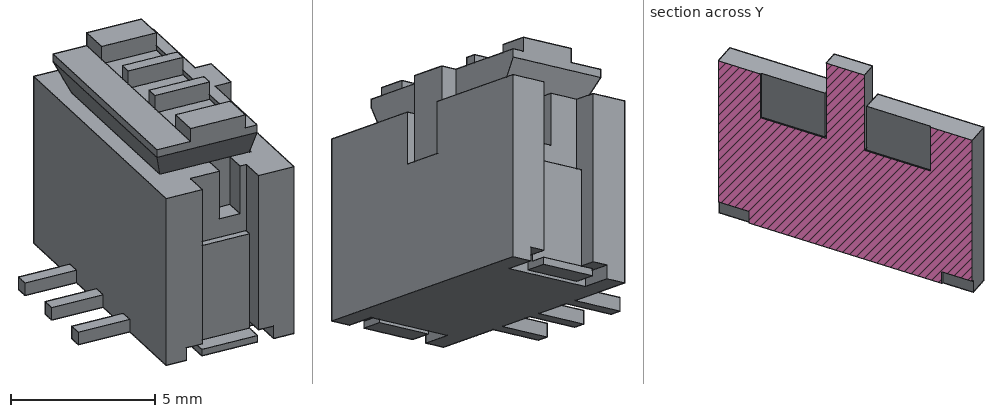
import cadquery as cq


body_width = 9.95
body_depth = 4.99
body_height = 6.59
half_body = body_width / 2

cavity_width = 6.63
cavity_front = 0.62
cavity_back = 4.18
cavity_floor = 4.71
key_slot_width = 1.63

plug_back = 4.11
head_width = 7.8
head_front = 0.2
flare_top = 7.64
deck_top = 7.94
key_width = 1.5
key_back = 4.74

rib_front = 1.51
rib_back = 3.65
rib_top = 8.45
rib_width = 0.44
end_rib_width = 1.12
recess_depth = 0.18

pin_pitch = 2.0
pin_size = 0.5
pin_length = 2.01

channel_front = 1.41
channel_back = 3.6
channel_depth = 0.91
window_front = 2.56
window_back = 3.35
notch_front = 0.8
notch_back = 4.2
notch_height = 0.5
notch_depth = 1.19

clip_back = 3.59
clip_thickness = 0.26
clip_height = 3.98
clip_outer = 4.94


def box(x0, x1, y0, y1, z0, z1):
    """Block spanning the given limits along X, Y and Z."""
    return cq.Workplane("XY").box(x1 - x0, y1 - y0, z1 - z0, centered=False).translate((x0, y0, z0))


def centred_box(width, y0, y1, z0, z1):
    """Block of the given width, centred across the part."""
    return box(-width / 2, width / 2, y0, y1, z0, z1)


def both_sides(left):
    """A left-hand shape together with its mirror image on the right."""
    return left.union(left.mirror("YZ"))


def make_housing():
    channel_floor = -half_body + channel_depth
    channel = box(-half_body, channel_floor, channel_front, channel_back, 0, body_height)
    window = box(channel_floor, -cavity_width / 2, window_front, window_back, cavity_floor, body_height)
    notch = box(-half_body, -half_body + notch_depth, notch_front, notch_back, 0, notch_height)
    cavity = centred_box(cavity_width, cavity_front, cavity_back, cavity_floor, body_height)
    key_slot = centred_box(key_slot_width, cavity_back, body_depth, cavity_floor, body_height)
    return (
        centred_box(body_width, 0, body_depth, 0, body_height)
        .cut(both_sides(channel.union(window).union(notch)))
        .cut(cavity)
        .cut(key_slot)
    )


def make_flare():
    """Head underside, widening upward at the front and both ends; its back is upright."""
    front_spread = cavity_front - head_front
    bottom_depth = plug_back - cavity_front
    return (
        cq.Workplane("XY", origin=(0, (cavity_front + plug_back) / 2, body_height))
        .rect(cavity_width, bottom_depth)
        .workplane(offset=flare_top - body_height)
        .center(0, -front_spread / 2)
        .rect(head_width, bottom_depth + front_spread)
        .loft(ruled=True)
    )


def make_plug():
    stem = centred_box(cavity_width, cavity_front, plug_back, cavity_floor, body_height)
    deck = centred_box(head_width, head_front, plug_back, flare_top, deck_top)
    key = centred_box(key_width, rib_back, key_back, cavity_floor, deck_top)
    recess_floor = deck_top - recess_depth
    recess = centred_box(head_width - 2 * end_rib_width, rib_front, rib_back, recess_floor, deck_top)
    plug = stem.union(make_flare()).union(deck).union(key).cut(recess)

    end_rib = box(
        -head_width / 2, -head_width / 2 + end_rib_width, rib_front, rib_back, deck_top, rib_top
    )
    middle_rib = centred_box(rib_width, rib_front, rib_back, recess_floor, rib_top)
    left_ribs = end_rib.union(middle_rib.translate((-pin_pitch / 2, 0, 0)))
    return plug.union(both_sides(left_ribs))


def make_clips():
    channel_floor = -half_body + channel_depth
    plate = box(
        channel_floor - clip_thickness, channel_floor, channel_front, clip_back, 0, clip_height
    )
    foot = box(-clip_outer, channel_floor, channel_front, clip_back, 0, clip_thickness)
    return both_sides(plate.union(foot))


result = make_housing().union(make_plug()).union(make_clips())
for position in (-1, 0, 1):
    pin = centred_box(pin_size, -pin_length, 0, 0, pin_size)
    result = result.union(pin.translate((position * pin_pitch, 0, 0)))